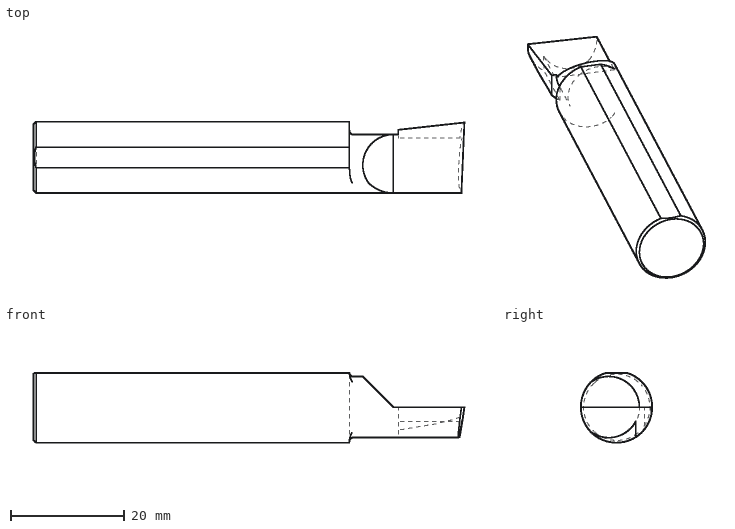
import cadquery as cq
import math

total_length = 76.2
shank_radius = 6.3
shank_length = 55.85
shank_chamfer = 0.45
flat_depth = 0.27
flat_height = shank_radius - flat_depth

neck_radius = 5.4
neck_offset = -1.4
neck_fillet = 0.7

ramp_foot = 63.6
head_start = 64.5
head_start_side = 4.9
head_tip_side = 6.2
head_inner_side = 3.4
end_skew = 0.5
end_clearance_angle = 8.0


def cylinder_along_x(radius, length):
    return cq.Workplane("YZ").circle(radius).extrude(length)


def make_shank():
    """Round shank with a chamfered rear end."""
    return cylinder_along_x(shank_radius, shank_length).faces("<X").chamfer(shank_chamfer)


def make_flat_cutter():
    """Everything above the clamping flat."""
    return (
        cq.Workplane("XY")
        .workplane(offset=flat_height)
        .rect(2 * total_length, 2 * shank_radius)
        .extrude(shank_radius)
    )


def make_neck(envelope):
    """Offset neck with a concave fillet where it leaves the shank."""
    quarter_turn = math.sqrt(0.5)
    fillet_end = shank_length + neck_fillet
    fillet_top = neck_radius + neck_fillet
    fillet_middle = (fillet_end - neck_fillet * quarter_turn, fillet_top - neck_fillet * quarter_turn)
    neck = (
        cq.Workplane("XY")
        .moveTo(shank_length, 0)
        .lineTo(shank_length, fillet_top)
        .threePointArc(fillet_middle, (fillet_end, neck_radius))
        .lineTo(total_length, neck_radius)
        .lineTo(total_length, 0)
        .close()
        .revolve(360, (0, 0, 0), (1, 0, 0))
        .translate((0, neck_offset, 0))
    )
    return neck.intersect(envelope)


def make_head_side(envelope):
    """Side of the head that widens toward the cutting tip."""
    side = (
        cq.Workplane("XY")
        .polyline([
            (head_start, head_inner_side),
            (head_start, head_start_side),
            (total_length, head_tip_side),
            (total_length, head_inner_side),
        ])
        .close()
        .extrude(-shank_radius)
    )
    return side.intersect(envelope)


def make_rake_cutter():
    """Everything above the ramp and the rake face."""
    return (
        cq.Workplane("XZ")
        .polyline([
            (ramp_foot, 0),
            (total_length, 0),
            (total_length, shank_radius),
            (ramp_foot - shank_radius, shank_radius),
        ])
        .close()
        .extrude(2 * shank_radius, both=True)
    )


def make_end_cutter():
    """Material beyond the end face, which is skewed in plan and undercut below the tip."""
    undercut = shank_radius * math.tan(math.radians(end_clearance_angle))
    skew_per_unit = end_skew / (head_tip_side + shank_radius)
    half_width = 2 * shank_radius
    right_edge = total_length + (half_width - head_tip_side) * skew_per_unit
    left_edge = total_length - (half_width + head_tip_side) * skew_per_unit
    beyond = total_length + shank_radius

    def outline(workplane, shift):
        return workplane.polyline([
            (left_edge - shift, -half_width),
            (beyond, -half_width),
            (beyond, half_width),
            (right_edge - shift, half_width),
        ]).close()

    bottom = outline(cq.Workplane("XY").workplane(offset=-shank_radius), undercut)
    return outline(bottom.workplane(offset=shank_radius), 0).loft(ruled=True)


envelope = cylinder_along_x(shank_radius, total_length)
body = make_shank().union(make_neck(envelope))
body = body.cut(make_flat_cutter()).cut(make_rake_cutter())
body = body.union(make_head_side(envelope))
result = body.cut(make_end_cutter())